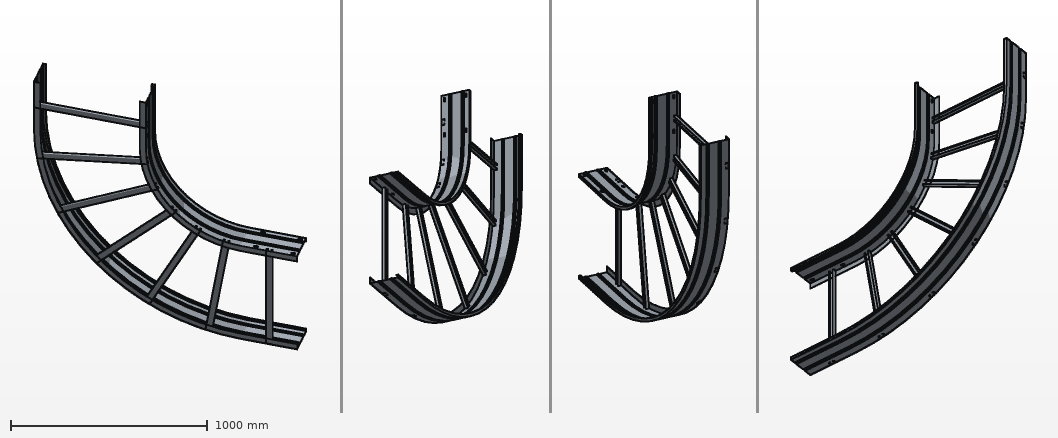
import cadquery as cq
import math

overall_size = 1400.0
ladder_width = 600.0
straight_length = 300.0
bend_radius = overall_size - straight_length
bend_center = bend_radius

rail_height = 160.0
sheet = 1.5
front_flange = 34.0
back_flange = 17.0
back_lip = 10.0
bead_depth = 3.0
bead_half_width = 8.0
bead_crest_half_width = 3.0
bead_centers = (52.0, 122.0)

slot_length = 20.0
slot_width = 8.0
slot_end_distances = (26.0, 224.0)
slot_edge_distance = 19.0

rung_width = 34.0
rung_depth = 17.0
rung_sheet = 1.5
rung_lip = 8.0
rung_bend_radius = 2.0
rung_end_distance = 150.0
bend_rung_count = 5

outer_web_x = 0.0
inner_web_x = ladder_width - bead_depth
outer_web_reach = bend_center - outer_web_x
inner_web_reach = bend_center - inner_web_x


def web_line(face_x):
    """Points up one face of the web, with both beads pressed toward +X."""
    points = []
    for center in bead_centers:
        points += [
            (face_x, center - bead_half_width),
            (face_x + bead_depth, center - bead_crest_half_width),
            (face_x + bead_depth, center + bead_crest_half_width),
            (face_x, center + bead_half_width),
        ]
    return points


def rail_section(web_x, side):
    """Closed outline of a rail: the flanges point to +X for side 1 and to -X for side -1."""
    inside_x = web_x + side * sheet
    front_tip_x = web_x + side * front_flange
    back_tip_x = web_x + side * back_flange
    lip_inside_x = back_tip_x - side * sheet
    outside = [(front_tip_x, 0), (web_x, 0)] + web_line(web_x) + [(web_x, rail_height)]
    lip = [
        (back_tip_x, rail_height),
        (back_tip_x, rail_height - back_lip),
        (lip_inside_x, rail_height - back_lip),
        (lip_inside_x, rail_height - sheet),
    ]
    inside = [(inside_x, rail_height - sheet)] + web_line(inside_x)[::-1] + [(inside_x, sheet)]
    return outside + lip + inside + [(front_tip_x, sheet)]


def bend_path(web_x):
    """Line, quarter circle and line followed by a rail, from its top end to its right end."""
    radius = bend_radius - web_x
    diagonal = bend_center - radius * math.sqrt(0.5)
    return (
        cq.Workplane("XZ")
        .moveTo(web_x, overall_size)
        .lineTo(web_x, bend_center)
        .threePointArc((diagonal, diagonal), (bend_center, web_x))
        .lineTo(overall_size, web_x)
    )


def make_rail(web_x, side):
    """Sweep the rail section along its own bend path."""
    section = cq.Workplane("XY", origin=(0, 0, overall_size)).polyline(rail_section(web_x, side)).close()
    return section.sweep(bend_path(web_x))


def cut_bolt_slots(rail):
    """Cut the slots through the web of the inner rail at its right end and at its top end."""
    centers = []
    for distance in slot_end_distances:
        for y in (slot_edge_distance, rail_height - slot_edge_distance):
            centers.append((overall_size - distance, y))
    right_slots = (
        cq.Workplane("XY", origin=(0, 0, inner_web_x - 2 * sheet))
        .pushPoints(centers)
        .slot2D(slot_length, slot_width)
        .extrude(3 * sheet)
    )
    top_slots = right_slots.mirror("XY").rotate((0, 0, 0), (0, 1, 0), -90)
    return rail.cut(right_slots, clean=False).cut(top_slots, clean=False)


def make_rung(inner_reach, outer_reach):
    """One rung lying along -X from the bend center, its front resting on the front rail flanges."""
    length = outer_reach - inner_reach
    middle_x = bend_center - (inner_reach + outer_reach) / 2
    middle_y = sheet + rung_depth / 2
    middle = cq.Workplane("XY", origin=(middle_x, middle_y, bend_center))
    body = middle.box(length, rung_depth, rung_width).edges("|X").fillet(rung_bend_radius)
    hollow_depth = rung_depth - 2 * rung_sheet
    hollow_width = rung_width - 2 * rung_sheet
    hollow = middle.box(length, hollow_depth, hollow_width).edges("|X").fillet(rung_bend_radius - rung_sheet)
    back_opening = middle.box(length, rung_depth, rung_width - 2 * rung_lip).translate((0, rung_depth / 2, 0))
    return body.cut(hollow).cut(back_opening)


def turn_about_bend(body, angle):
    """Turn a body about the bend axis, from the top end of the ladder toward its right end."""
    axis_start = (bend_center, 0, bend_center)
    axis_end = (bend_center, 1, bend_center)
    return body.rotate(axis_start, axis_end, -angle)


def make_straight_rungs():
    """One rung in the middle of each straight end."""
    rung = make_rung(inner_web_reach + sheet, outer_web_reach - sheet)
    shift = straight_length - rung_end_distance
    top_rung = rung.translate((0, 0, shift))
    right_rung = turn_about_bend(rung, 90).translate((shift, 0, 0))
    return [top_rung, right_rung]


def make_bend_rungs():
    """Equally spaced radial rungs, with half a step before the first and after the last."""
    outer_inside_radius = outer_web_reach - sheet
    corner_reach = math.sqrt(outer_inside_radius**2 - (rung_width / 2) ** 2)
    rung = make_rung(inner_web_reach + sheet, corner_reach)
    step = 90 / bend_rung_count
    return [turn_about_bend(rung, (i + 0.5) * step) for i in range(bend_rung_count)]


outer_rail = make_rail(outer_web_x, 1)
inner_rail = cut_bolt_slots(make_rail(inner_web_x, -1))
rungs = make_straight_rungs() + make_bend_rungs()

result = cq.Compound.makeCompound([outer_rail.val(), inner_rail.val(), *[rung.val() for rung in rungs]])